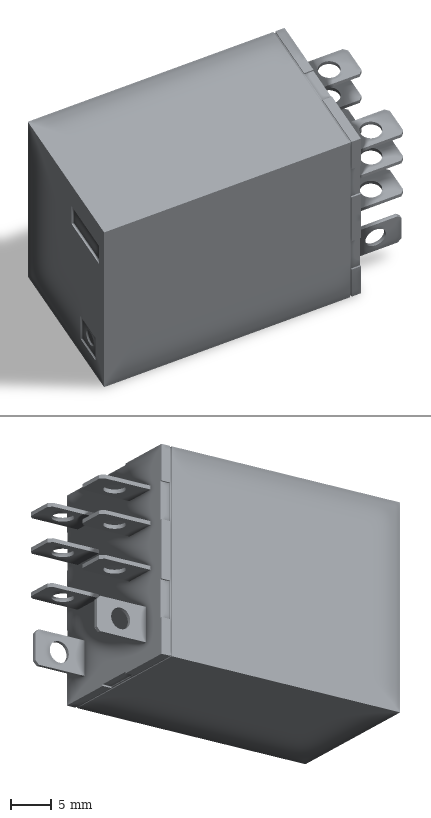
import cadquery as cq

width = 21.1
depth = 42.95
height = 27.95

cover_depth = 34.05
seam_width = 0.25
seam_inset = 0.15
base_back = 35.6

notch_width = 5.1
notch_inset = 0.2
side_notch_z = 6.53

blade_width = 4.72
blade_thickness = 0.5
blade_corner = 0.5
blade_hole_diameter = 2.85
blade_hole_from_tip = 3.55
flat_blade_x = 5.75
flat_blade_heights = (8.95, 4.2, -1.75)
upright_blade_x = 6.83
upright_blade_z = -8.97

window_width = 7.55
window_height = 3.2
window_depth = 0.35
window_x = 5.32
window_z = 8.6

button_size = 4.08
button_depth = 0.25
dimple_diameter = 2.15
dimple_depth = 0.25
button_x = 6.1
button_z = -9.4


def block(size_x, size_z, front, back, x=0, z=0):
    """Box centred on (x, z) that reaches from Y = front to Y = back."""
    length = back - front
    return cq.Workplane("XY").box(size_x, length, size_z).translate((x, (front + back) / 2, z))


def make_base():
    """Base plate with one notch on top and bottom and two on each side."""
    base_front = cover_depth + seam_width
    base = block(width, height, base_front, base_back)
    for side in (-1, 1):
        base = base.cut(
            block(notch_width, 2 * notch_inset, base_front, base_back, z=side * height / 2)
        )
        for notch_z in (-side_notch_z, side_notch_z):
            base = base.cut(
                block(2 * notch_inset, notch_width, base_front, base_back, side * width / 2, notch_z)
            )
    return base


def make_blade():
    """Flat blade centred on the Y axis, with cut tip corners and a round hole."""
    blade = block(blade_width, blade_thickness, cover_depth, depth)
    blade = blade.edges("|Z and >Y").chamfer(blade_corner)
    hole = (
        cq.Workplane("XY")
        .center(0, depth - blade_hole_from_tip)
        .circle(blade_hole_diameter / 2)
        .extrude(blade_thickness, both=True)
    )
    return blade.cut(hole)


def make_housing():
    """Cover and base plate joined by the narrower seam."""
    cover = block(width, height, 0, cover_depth)
    seam = block(
        width - 2 * seam_inset,
        height - 2 * seam_inset,
        cover_depth,
        cover_depth + seam_width,
    )
    return cover.union(seam).union(make_base())


def cut_front_recesses(body):
    """Cut the label window and the dimpled square into the front face."""
    window = block(window_width, window_height, 0, window_depth, window_x, window_z)
    button = block(button_size, button_size, 0, button_depth, button_x, button_z)
    dimple = (
        cq.Workplane("XZ")
        .center(button_x, button_z)
        .circle(dimple_diameter / 2)
        .extrude(-(button_depth + dimple_depth))
    )
    return body.cut(window).cut(button).cut(dimple)


flat_blade = make_blade()
upright_blade = flat_blade.rotate((0, 0, 0), (0, 1, 0), 90)

result = cut_front_recesses(make_housing())
for side in (-1, 1):
    for blade_z in flat_blade_heights:
        result = result.union(flat_blade.translate((side * flat_blade_x, 0, blade_z)))
    result = result.union(upright_blade.translate((side * upright_blade_x, 0, upright_blade_z)))